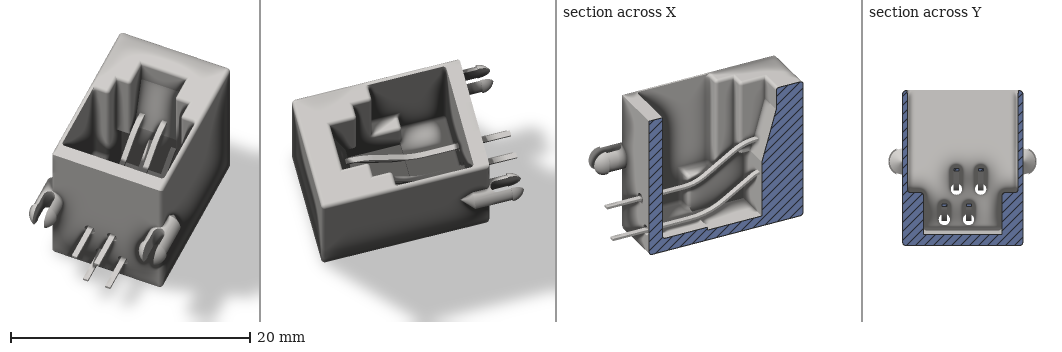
import cadquery as cq
import math


HOUSING_WIDTH = 10.08
HOUSING_DEPTH = 14.52
HOUSING_HEIGHT = 13.0
OUTER_ROUND = 0.32
INNER_ROUND = 0.28

FRONT_WALL = 1.28
LATCH_HALF_WIDTH = 4.65
LATCH_BACK = 8.0
LEDGE_FRONT = 5.43
LEDGE_LEVEL = 4.44
FLOOR_LEVEL = 1.28
PLUG_HALF_WIDTH = 3.27
PLUG_BACK = 9.65
NOTCH_HALF_WIDTH = 2.02
NOTCH_BACK = 11.96
SLOPE_TOP = 10.92
CHAMBER_TOP = 6.21
CHAMBER_BACK = 10.61
CHAMBER_FRONT = 5.55
CHAMBER_FLOOR = 1.0

PEG_SPACING = 10.0
PEG_LEVEL = 7.03
PEG_RADIUS = 1.08
PEG_ROOT = 1.53
HEAD_RADIUS = 1.2
HEAD_START = -1.7
PEG_SLOT_WIDTH = 1.01
PEG_SLOT_END = -0.05

CONTACT_PITCH = 1.01
CONTACT_WIDTH = 0.46
CONTACT_THICKNESS = 0.21
CONTACT_ANGLE = 31.5
PIN_TIP = HOUSING_DEPTH - 17.75
BEND_START = 4.08
HOLE_DIAMETER = 0.94
CONTACT_EMBEDMENT = 0.71
UPPER_ROW = dict(level=4.72, rise_start=6.07, rise_end=8.75, bend_end=10.95)
LOWER_ROW = dict(level=2.18, rise_start=7.37, rise_end=10.05, bend_end=10.8)
CONTACT_ROWS = [UPPER_ROW, LOWER_ROW, UPPER_ROW, LOWER_ROW]

SIDES = (-1, 1)
TOLERANCE = 0.002


def block(half_width, y_range, z_range):
    """Box centred on X between the given Y and Z limits."""
    (y_min, y_max), (z_min, z_max) = y_range, z_range
    outline = cq.Workplane("XY", origin=(0, 0, z_min)).center(0, (y_min + y_max) / 2)
    return outline.rect(2 * half_width, y_max - y_min).extrude(z_max - z_min)


def side_prism(half_width, points):
    """Prism centred on X from an outline of (Y, Z) points."""
    return cq.Workplane("YZ").polyline(points).close().extrude(half_width, both=True)


def same(value, target):
    return abs(value - target) < TOLERANCE


def edge_at(edge, x=None, y=None, z=None):
    """Whether a straight edge stays at the given |X|, Y and Z; coordinates left out are free."""
    box = edge.BoundingBox()
    limits = ((x, abs(box.xmin), abs(box.xmax)), (y, box.ymin, box.ymax), (z, box.zmin, box.zmax))
    return all(goal is None or (same(low, goal) and same(high, goal)) for goal, low, high in limits)


def round_edges(solid, wanted, radius=INNER_ROUND):
    """Fillet every edge of the solid for which wanted(edge) is true."""
    edges = [edge for edge in solid.edges().vals() if wanted(edge)]
    return solid.newObject(edges).fillet(radius)


def housing():
    """Box with every edge rounded except the front top one."""
    box = block(HOUSING_WIDTH / 2, (0, HOUSING_DEPTH), (0, HOUSING_HEIGHT))
    return round_edges(box, lambda edge: not edge_at(edge, y=0, z=HOUSING_HEIGHT), OUTER_ROUND)


def peg(x):
    """Cone-ended shaft along Y with a half-ball head, split by a round-ended slot."""
    profile = (
        cq.Workplane("XY")
        .moveTo(0, PEG_ROOT + PEG_RADIUS)
        .lineTo(PEG_RADIUS, PEG_ROOT)
        .lineTo(PEG_RADIUS, HEAD_START)
        .lineTo(HEAD_RADIUS, HEAD_START)
        .radiusArc((0, HEAD_START - HEAD_RADIUS), HEAD_RADIUS)
        .close()
    )
    slot_length = 4 * HEAD_RADIUS
    slot = (
        cq.Workplane("XY")
        .center(0, PEG_SLOT_END - slot_length / 2)
        .slot2D(slot_length, PEG_SLOT_WIDTH, 90)
        .extrude(HEAD_RADIUS, both=True)
    )
    return profile.revolve().cut(slot).translate((x, 0, PEG_LEVEL))


def latch_space():
    """Wide front part of the opening, with a ledge behind it; its wall and ledge corners are rounded."""
    space = side_prism(
        LATCH_HALF_WIDTH,
        [
            (FRONT_WALL, FLOOR_LEVEL),
            (LEDGE_FRONT, FLOOR_LEVEL),
            (LEDGE_FRONT, LEDGE_LEVEL),
            (LATCH_BACK, LEDGE_LEVEL),
            (LATCH_BACK, HOUSING_HEIGHT),
            (FRONT_WALL, HOUSING_HEIGHT),
        ],
    )

    def is_corner(edge):
        on_top = edge_at(edge, z=HOUSING_HEIGHT)
        on_floor = edge_at(edge, z=FLOOR_LEVEL)
        ledge_edge = edge_at(edge, y=LEDGE_FRONT, z=LEDGE_LEVEL)
        return not (on_top or on_floor or ledge_edge)

    return round_edges(space, is_corner)


def plug_space():
    """Middle part of the opening, between the ledges."""
    middle = (FRONT_WALL + LEDGE_FRONT) / 2
    return block(PLUG_HALF_WIDTH, (middle, PLUG_BACK), (FLOOR_LEVEL, HOUSING_HEIGHT))


def notch():
    """Narrow rear part of the opening, with a steep slope at the back."""
    return side_prism(
        NOTCH_HALF_WIDTH,
        [
            (LATCH_BACK, HOUSING_HEIGHT),
            (NOTCH_BACK, HOUSING_HEIGHT),
            (NOTCH_BACK, SLOPE_TOP),
            (CHAMBER_BACK, CHAMBER_TOP),
            (LATCH_BACK, CHAMBER_TOP),
        ],
    )


def is_step_edge(edge):
    """Outward corners where the opening narrows, and the edges of the two ledges."""
    box = edge.BoundingBox()
    above_floor = box.zmax > FLOOR_LEVEL + TOLERANCE
    on_latch_step = edge_at(edge, x=PLUG_HALF_WIDTH) and LEDGE_FRONT - TOLERANCE < box.ymin
    latch_step = on_latch_step and box.ymax < LATCH_BACK + TOLERANCE and above_floor
    ledge_front = edge_at(edge, y=LEDGE_FRONT, z=LEDGE_LEVEL)
    notch_corner = edge_at(edge, x=NOTCH_HALF_WIDTH, y=PLUG_BACK)
    return latch_step or ledge_front or notch_corner


def is_floor_edge(edge):
    """Foot of the walls around the front floor."""
    box = edge.BoundingBox()
    in_latch_space = FRONT_WALL - TOLERANCE < box.ymin and box.ymax < PLUG_BACK - TOLERANCE
    return edge_at(edge, z=FLOOR_LEVEL) and in_latch_space


def opening_rim():
    """Material rounded off the top rim of the opening behind the latch space."""
    rim_front = LATCH_BACK - INNER_ROUND
    depth_range = (rim_front, HOUSING_DEPTH)
    slab = block(HOUSING_WIDTH, depth_range, (HOUSING_HEIGHT - 2 * INNER_ROUND, HOUSING_HEIGHT))
    walls = slab.cut(latch_space()).cut(plug_space()).cut(notch())
    walls = round_edges(walls, is_step_edge)

    def is_rim(edge):
        box = edge.BoundingBox()
        inside = box.xmax - box.xmin < HOUSING_WIDTH and box.ymax < NOTCH_BACK + TOLERANCE
        within = max(abs(box.xmin), abs(box.xmax)) < LATCH_HALF_WIDTH + TOLERANCE
        return edge_at(edge, z=HOUSING_HEIGHT) and inside and within

    rim = slab.cut(round_edges(walls, is_rim))
    return rim.intersect(block(LATCH_HALF_WIDTH, depth_range, (HOUSING_HEIGHT - INNER_ROUND, HOUSING_HEIGHT)))


def contact(x, level, rise_start, rise_end, bend_end):
    """Flat spring strip: straight pin, bend up, straight rise, bend back to level."""
    angle = math.radians(CONTACT_ANGLE)
    bend_rise = math.tan(angle / 2)
    first_bend = rise_start - BEND_START
    rise = rise_end - rise_start
    second_bend = bend_end - rise_end
    path = (
        cq.Workplane("YZ")
        .moveTo(PIN_TIP, level)
        .lineTo(BEND_START, level)
        .tangentArcPoint((first_bend, first_bend * bend_rise))
        .line(rise, rise * math.tan(angle))
        .tangentArcPoint((second_bend, second_bend * bend_rise))
        .line(CONTACT_EMBEDMENT, 0)
    )
    section = cq.Workplane("XZ", origin=(0, PIN_TIP, level)).rect(CONTACT_WIDTH, CONTACT_THICKNESS)
    return section.sweep(path).translate((x, 0, 0))


def contact_hole(x, level):
    """Clearance hole for a pin through the front wall."""
    return cq.Workplane("XZ").center(x, level).circle(HOLE_DIAMETER / 2).extrude(-FRONT_WALL)


body = housing()
for side in SIDES:
    body = body.union(peg(side * PEG_SPACING / 2))

body = body.cut(latch_space()).cut(plug_space()).cut(notch())
body = round_edges(body, is_step_edge)
body = round_edges(body, is_floor_edge)

body = body.cut(block(PLUG_HALF_WIDTH, (CHAMBER_FRONT, CHAMBER_BACK), (CHAMBER_FLOOR, CHAMBER_TOP)))

for index, row in enumerate(CONTACT_ROWS):
    contact_x = (index - (len(CONTACT_ROWS) - 1) / 2) * CONTACT_PITCH
    body = body.cut(contact_hole(contact_x, row["level"]))
    body = body.union(contact(contact_x, **row))

result = body.cut(opening_rim(), clean=False)